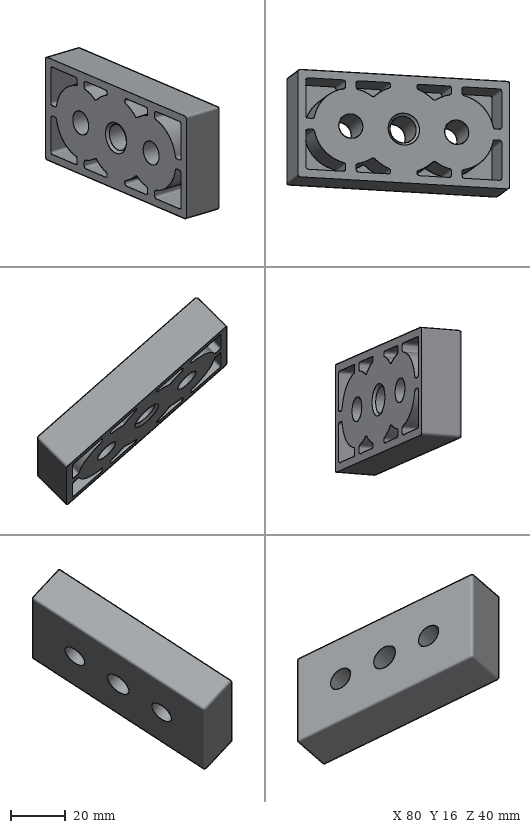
import cadquery as cq

length = 80.0
thickness = 16.0
height = 40.0
rounding_diameter = 2.0
rounding_radius = rounding_diameter / 2

side_hole_spacing = length / 2
side_hole_diameter = 9.0
centre_hole_diameter = 9.8
countersink_diameter = 11.8

pocket_field_height = 34.0
rib = 4.0
centre_rib = 10.0
side_boss_radius = 14.0
centre_boss_radius = 16.0

wall = (height - pocket_field_height) / 2
pocket_depth = thickness - wall
side_hole_x = side_hole_spacing / 2


def front_cylinder(x, diameter, depth):
    """Cylinder running from the front face (Y = 0) towards the back."""
    return cq.Workplane("XZ").center(x, 0).circle(diameter / 2).extrude(-depth)


def front_box(x_min, x_max, z_min, z_max):
    """Rectangular block as deep as a pocket, starting at the front face."""
    block = cq.Workplane("XY").box(x_max - x_min, pocket_depth, z_max - z_min, centered=False)
    return block.translate((x_min, 0, z_min))


def make_block():
    block = cq.Workplane("XY").box(length, thickness, height).translate((0, thickness / 2, 0))
    return block.edges("|Y or >Y").fillet(rounding_radius)


def make_quarter_pockets():
    """The corner pocket and the inner pocket of the +X, +Z quarter."""
    side_boss = front_cylinder(side_hole_x, 2 * side_boss_radius, pocket_depth)
    centre_boss = front_cylinder(0, 2 * centre_boss_radius, pocket_depth)
    top = pocket_field_height / 2

    corner = front_box(side_hole_x + rib / 2, length / 2 - wall, rib / 2, top).cut(side_boss)
    inner = front_box(centre_rib / 2, side_hole_x - rib / 2, rib / 2, top)
    inner = inner.cut(side_boss).cut(centre_boss)
    return [pocket.edges("|Y").fillet(rounding_radius) for pocket in (corner, inner)]


def cut_pockets(body):
    for pocket in make_quarter_pockets():
        mirrored_in_x = pocket.mirror("YZ")
        for upper in (pocket, mirrored_in_x):
            body = body.cut(upper).cut(upper.mirror("XY"))
    return body


def cut_holes(body):
    for x in (-side_hole_x, side_hole_x):
        body = body.cut(front_cylinder(x, side_hole_diameter, thickness))

    countersink_depth = (countersink_diameter - centre_hole_diameter) / 2
    countersink = cq.Workplane(
        cq.Solid.makeCone(
            countersink_diameter / 2,
            centre_hole_diameter / 2,
            countersink_depth,
            pnt=cq.Vector(0, 0, 0),
            dir=cq.Vector(0, 1, 0),
        )
    )
    return body.cut(front_cylinder(0, centre_hole_diameter, thickness)).cut(countersink)


result = cut_holes(cut_pockets(make_block()))